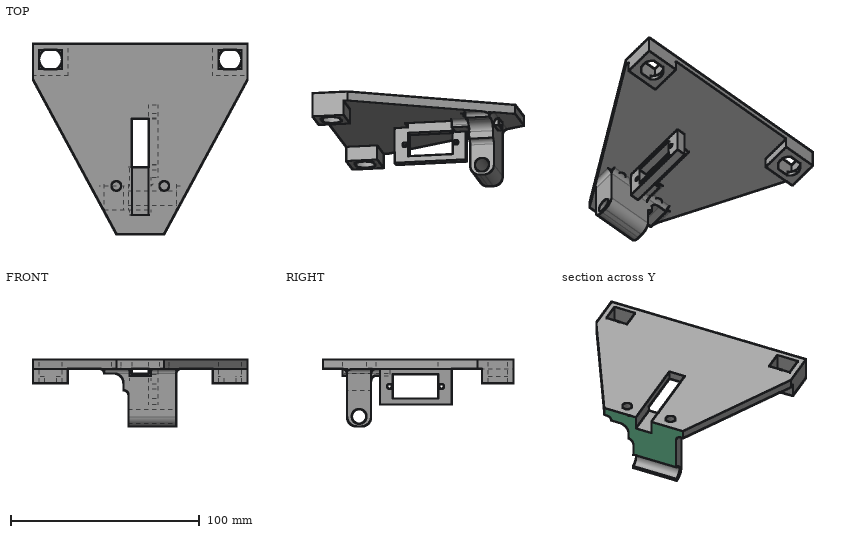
import cadquery as cq

plate_width = 113.7
plate_depth = 100.9
plate_thickness = 5.0
front_edge_width = 25.2
straight_side_length = 19.1

leg_width = 18.5
leg_depth = 16.8
leg_height = 12.7
socket_width = 12.0
socket_depth = 10.2
socket_margin = 3.3
leg_floor = 3.6

slot_width = 9.0
slot_front = 10.2
slot_back = 61.0
channel_wall = 1.1
channel_back = 35.6
channel_inner_bottom = -7.6
channel_bottom = channel_inner_bottom - channel_wall

lug_front = 12.7
lug_thickness = 12.8
lug_back = lug_front + lug_thickness
lug_right = 19.1
flange_left = -19.1
neck_left = -9.0
lug_left = -6.3
lug_bottom = -35.6
ledge_z = -16.4
neck_radius = 5.1
blend_radius = 2.5
lug_corner_radius = 5.1
pivot_diameter = 7.6
pivot_z = -30.2

pin_diameter = 5.1
pin_spacing = 25.3
pin_hole_depth = 4.5

bracket_thickness = 5.0
bracket_front = 30.1
bracket_back = 68.3
bracket_bottom = -24.0
window_front = 37.0
window_back = 61.0
window_top = -8.0
window_bottom = -20.7
screw_diameter = 2.5
screw_spacing = 27.5
screw_z = (window_top + window_bottom) / 2


def box(x_range, y_range, z_range):
    """Box spanning the given (low, high) ranges."""
    spans = (x_range, y_range, z_range)
    size = [high - low for low, high in spans]
    return cq.Workplane("XY").box(*size, centered=False).translate([low for low, high in spans])


def plate_prism(height):
    """Prism with the outline of the plate, from the top face downwards."""
    half_front = front_edge_width / 2
    half_width = plate_width / 2
    shoulder_y = plate_depth - straight_side_length
    outline = [
        (-half_front, 0),
        (half_front, 0),
        (half_width, shoulder_y),
        (half_width, plate_depth),
        (-half_width, plate_depth),
        (-half_width, shoulder_y),
    ]
    return cq.Workplane("XY").polyline(outline).close().extrude(-height)


def concave_blend(plane, corner, direction, radius, start, end):
    """Concave fillet strip along X ("YZ" plane) or along Y ("XZ" plane).

    The corner is given in the plane; direction holds the signs of its two legs.
    """
    u, v = corner
    du, dv = (sign * radius for sign in direction)
    diagonal = 1 - 0.5 ** 0.5
    strip = (
        cq.Workplane(plane)
        .moveTo(u, v)
        .lineTo(u + du, v)
        .threePointArc((u + du * diagonal, v + dv * diagonal), (u, v + dv))
        .close()
    )
    if plane == "XZ":
        return strip.extrude(start - end).translate((0, start, 0))
    return strip.extrude(end - start).translate((start, 0, 0))


def leg(side):
    inner = plate_width / 2 - leg_width
    x_range = sorted((side * inner, side * plate_width / 2))
    return box(x_range, (plate_depth - leg_depth, plate_depth), (-leg_height, 0))


def socket(side):
    """Rectangular pocket whose floor has a round opening as wide as the pocket."""
    x = side * (plate_width / 2 - socket_margin - socket_width / 2)
    y = plate_depth - socket_margin - socket_depth / 2
    x_range = (x - socket_width / 2, x + socket_width / 2)
    y_range = (y - socket_depth / 2, y + socket_depth / 2)
    pocket = box(x_range, y_range, (leg_floor - leg_height, 0))
    through_pocket = box(x_range, y_range, (-leg_height, 0))
    opening = cq.Workplane("XY").center(x, y).circle(socket_width / 2).extrude(-leg_height)
    return pocket.union(opening.intersect(through_pocket))


def lug():
    """Pivot lug with a narrow neck, blended into the plate."""
    under_plate = -plate_thickness
    lug_x = (lug_left, lug_right)
    lug_y = (lug_front, lug_back)
    body = box(lug_x, lug_y, (lug_bottom, under_plate))
    body = body.edges("|X and <Z").fillet(lug_corner_radius)
    body = body.union(box((neck_left, lug_left), lug_y, (ledge_z, under_plate)))
    body = body.union(
        box((flange_left, neck_left), lug_y, (under_plate - blend_radius, under_plate))
    )
    flange_corner = (neck_left, under_plate - blend_radius)
    ledge_corner = (lug_left, ledge_z)
    blends = [
        concave_blend("XZ", flange_corner, (-1, -1), neck_radius, *lug_y),
        concave_blend("XZ", ledge_corner, (-1, -1), lug_left - neck_left, *lug_y),
        concave_blend("XZ", (flange_left, under_plate), (-1, -1), blend_radius, *lug_y),
        concave_blend("XZ", (lug_right, under_plate), (1, -1), blend_radius, *lug_y),
    ]
    for y, outward in ((lug_front, -1), (lug_back, 1)):
        blends.append(
            concave_blend("YZ", (y, under_plate), (outward, -1), blend_radius, flange_left, lug_right)
        )
    for blend in blends:
        body = body.union(blend)
    return body.intersect(plate_prism(-lug_bottom))


def channel():
    """Channel body under the slot, blended into the plate and the lug."""
    half_outer = slot_width / 2 + channel_wall
    body = box(
        (-half_outer, half_outer), (slot_front, channel_back), (channel_bottom, -plate_thickness)
    )
    for side in (-1, 1):
        corner = (side * half_outer, -plate_thickness)
        body = body.union(
            concave_blend("XZ", corner, (side, -1), blend_radius, lug_back, channel_back)
        )
    lug_corner = (lug_back, channel_bottom)
    return body.union(
        concave_blend("YZ", lug_corner, (1, -1), blend_radius, -half_outer, half_outer)
    )


def slot():
    """Opening through the plate, and the hollow of the channel."""
    x_range = (-slot_width / 2, slot_width / 2)
    front_part = box(x_range, (slot_front, channel_back), (channel_inner_bottom, 0))
    back_part = box(x_range, (channel_back, slot_back), (channel_bottom, 0))
    channel_mouth = box(x_range, (0, slot_front), (channel_inner_bottom, -plate_thickness))
    return front_part.union(back_part).union(channel_mouth)


def bracket():
    """Vertical servo plate with a window and two screw holes."""
    inner = slot_width / 2
    x_range = (inner, inner + bracket_thickness)
    body = box(x_range, (bracket_front, bracket_back), (bracket_bottom, -plate_thickness))
    body = body.cut(box(x_range, (window_front, window_back), (window_bottom, window_top)))
    window_middle = (window_front + window_back) / 2
    screws = (
        cq.Workplane("YZ", origin=(inner, window_middle, screw_z))
        .pushPoints([(-screw_spacing / 2, 0), (screw_spacing / 2, 0)])
        .circle(screw_diameter / 2)
        .extrude(bracket_thickness)
    )
    return body.cut(screws)


def pivot_hole():
    center_y = lug_front + lug_thickness / 2
    return (
        cq.Workplane("YZ", origin=(lug_left, center_y, pivot_z))
        .circle(pivot_diameter / 2)
        .extrude(lug_right - lug_left)
    )


def pin_holes():
    return (
        cq.Workplane("XY")
        .pushPoints([(-pin_spacing / 2, lug_back), (pin_spacing / 2, lug_back)])
        .circle(pin_diameter / 2)
        .extrude(-pin_hole_depth)
    )


result = plate_prism(plate_thickness)
for solid in (leg(-1), leg(1), lug(), channel(), bracket()):
    result = result.union(solid)
for cavity in (socket(-1), socket(1), slot(), pivot_hole(), pin_holes()):
    result = result.cut(cavity)